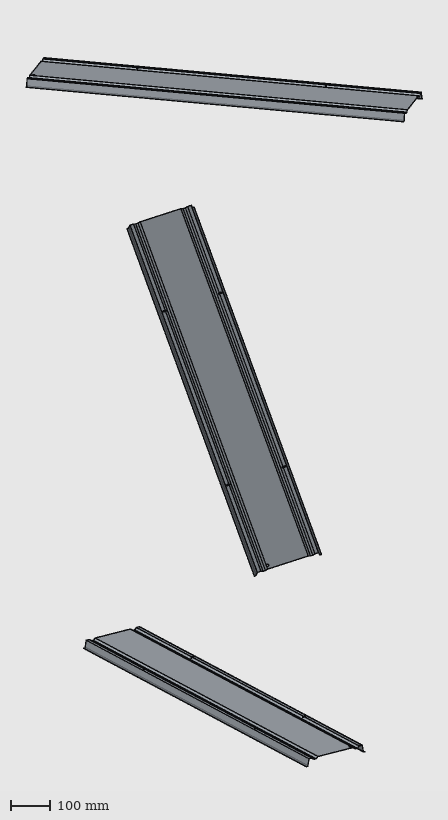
import cadquery as cq
import math

length = 1000.0
width = 182.0
height = 21.0
thickness = 0.8
trim_margin = 10.0

lip_width = 4.0
leg_spread = 4.0
foot_radius = 2.0

groove_offset = 64.0
groove_width = 18.0
groove_floor_width = 6.0
groove_depth = 5.0

slot_spacing = 500.0
slot_offset = 75.0
slot_length = 9.0
slot_width = 3.0

hole_diameter = 6.0
hole_end_distance = 10.0
hole_offset = 52.0


def half_upper_profile():
    """Upper surface of the sheet from the groove nearest the centre plane to beyond the lip."""
    groove_floor = height - groove_depth
    lip_end = width / 2
    leg_foot = lip_end - lip_width
    leg_top = leg_foot - leg_spread
    return [
        (groove_offset - groove_width / 2, height),
        (groove_offset - groove_floor_width / 2, groove_floor),
        (groove_offset + groove_floor_width / 2, groove_floor),
        (groove_offset + groove_width / 2, height),
        (leg_top, height),
        (leg_foot, thickness),
        (lip_end + trim_margin, thickness),
        (lip_end + trim_margin, -trim_margin),
    ]


def is_foot_bend(vertex):
    """Corner where a leg turns out into its lip."""
    on_lip = math.isclose(vertex.Z, thickness, abs_tol=1e-05)
    return on_lip and abs(vertex.Y) < width / 2


def make_sheet():
    """Folded sheet: the skin of a filled profile, trimmed to the lip ends and underside."""
    positive_half = half_upper_profile()
    negative_half = [(-y, z) for y, z in reversed(positive_half)]
    outline = cq.Workplane("YZ").polyline(negative_half + positive_half).close().val()
    feet = [vertex for vertex in outline.Vertices() if is_foot_bend(vertex)]
    outer = outline.fillet2D(foot_radius, feet)
    inner = outer.offset2D(-thickness, "intersection")[0]

    section = cq.Face.makeFromWires(outer, [inner])
    skin = cq.Solid.extrudeLinear(section, cq.Vector(length, 0, 0))
    skin = cq.Workplane(skin).translate((-length / 2, 0, 0))
    envelope = cq.Workplane("XY").box(length, width, height, centered=(True, True, False))
    return skin.intersect(envelope)


def through_cutter(sketch):
    """Turn a closed outline on the base plane into a full-height cutter."""
    return sketch.extrude(height)


def slot_cutters():
    centres = [
        (x_side * slot_spacing / 2, y_side * slot_offset)
        for x_side in (-1, 1)
        for y_side in (-1, 1)
    ]
    outline = cq.Workplane("XY").pushPoints(centres).slot2D(slot_length, slot_width, 90)
    return through_cutter(outline)


def hole_cutter():
    centre = (hole_end_distance - length / 2, -hole_offset)
    return through_cutter(cq.Workplane("XY").pushPoints([centre]).circle(hole_diameter / 2))


result = make_sheet().cut(slot_cutters()).cut(hole_cutter())